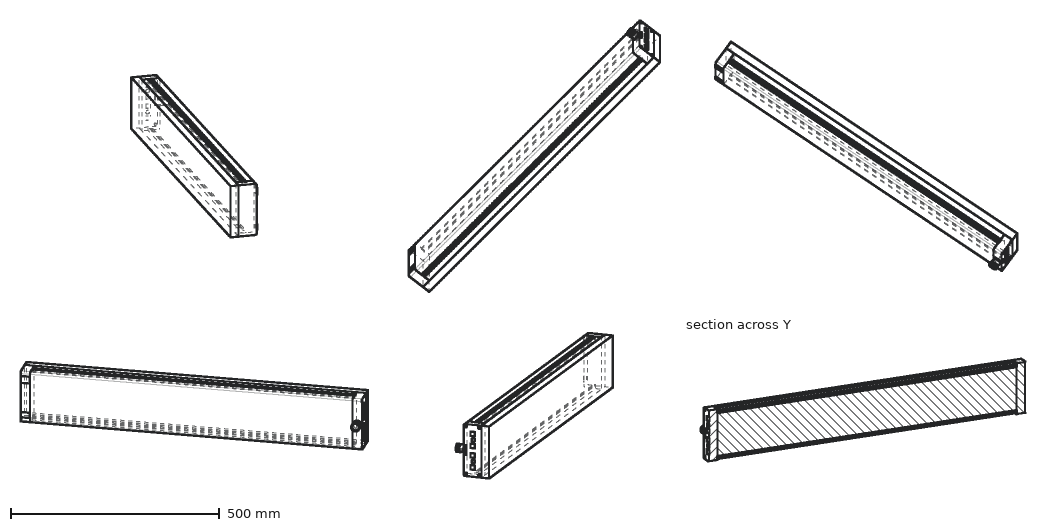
import cadquery as cq

LENGTH = 838.0
HEIGHT = 130.0
PANEL_DEPTH = 20.0
BLOCK_DEPTH = 65.0
END_CAP_LENGTH = 23.5
BACK_ROUND = 5.0

GROOVE_START = 35.0
GROOVE_END = 45.0
GROOVE_DEPTH = 6.0
SLOT_WIDTH = 2.5
SLOT_DEPTH = 10.0

CONNECTOR_X = END_CAP_LENGTH / 2
CONNECTOR_STEPS = [(10.0, 67.0), (9.0, 77.0), (10.0, 79.0), (8.0, 84.0), (10.0, 86.0)]

PAD_RISE = 2.0
PAD_WIDTH = 22.0
PADS = [(45.0, 18.0), (-45.0, 13.0)]

RECESS_DEPTH = 2.0
WINDOW_SIZE = 11.0
WINDOW_Y = 43.0
WINDOW_Z = [12.0, 42.0]
BUTTON_DIAMETER = 9.0
BUTTON_Y = 41.0
BUTTON_Z = 27.0
KEY_SLOT_WIDTH = 2.5
KEY_SLOT_LENGTH = 23.5
KEY_SLOT_Y = 59.5

SCREW_DIAMETER = 6.0
FRONT_SCREW_Y = 25.0
BACK_SCREW_Y = 60.0
SCREW_Z = 59.5


def block(x_start, length, y_start, y_end):
    """Full-height box centred on Z = 0."""
    box = cq.Workplane("XY").box(length, y_end - y_start, HEIGHT, centered=(False, False, True))
    return box.translate((x_start, y_start, 0))


def rear_block(x_start, length):
    """Block behind the front panel, with its two long back edges rounded."""
    return block(x_start, length, PANEL_DEPTH, BLOCK_DEPTH).edges("|X and >Y").fillet(BACK_ROUND)


def make_panel():
    return block(0, LENGTH, 0, PANEL_DEPTH)


def groove_cutter(side, width, depth):
    """Long cutter from GROOVE_START on the top (side 1) or bottom (side -1) face."""
    cutter = cq.Workplane("XY").box(LENGTH, width, 2 * depth)
    return cutter.translate((LENGTH / 2, GROOVE_START + width / 2, side * HEIGHT / 2))


def make_extrusion():
    body = rear_block(END_CAP_LENGTH, LENGTH - 2 * END_CAP_LENGTH)
    for side in (1, -1):
        body = body.cut(groove_cutter(side, GROOVE_END - GROOVE_START, GROOVE_DEPTH))
        body = body.cut(groove_cutter(side, SLOT_WIDTH, SLOT_DEPTH))
    return body


def add_connector(cap):
    """Stack of coaxial cylinders pointing along +Y from the back of the cap."""
    start = BLOCK_DEPTH
    for radius, end in CONNECTOR_STEPS:
        base = cq.Workplane("XZ", origin=(CONNECTOR_X, start, 0))
        cap = cap.union(base.circle(radius).extrude(start - end))
        start = end
    return cap


def mirrored(y, heights):
    """(Y, Z) points at each height and its mirror image below Z = 0."""
    return [(y, side * z) for z in heights for side in (1, -1)]


def cut_recesses(cap):
    """Shallow recesses in the outer face of the cap, which lies on X = 0."""
    screw_points = mirrored(FRONT_SCREW_Y, [SCREW_Z]) + mirrored(BACK_SCREW_Y, [SCREW_Z])
    outlines = [
        cq.Workplane("YZ").pushPoints(mirrored(WINDOW_Y, WINDOW_Z)).rect(WINDOW_SIZE, WINDOW_SIZE),
        cq.Workplane("YZ").pushPoints(mirrored(BUTTON_Y, [BUTTON_Z])).circle(BUTTON_DIAMETER / 2),
        cq.Workplane("YZ").center(KEY_SLOT_Y, 0).rect(KEY_SLOT_WIDTH, KEY_SLOT_LENGTH),
        cq.Workplane("YZ").pushPoints(screw_points).circle(SCREW_DIAMETER / 2),
    ]
    for outline in outlines:
        cap = cap.cut(outline.extrude(RECESS_DEPTH))
    return cap


def make_left_cap():
    return cut_recesses(add_connector(rear_block(0, END_CAP_LENGTH)))


def make_right_cap():
    x_start = LENGTH - END_CAP_LENGTH
    cap = rear_block(x_start, END_CAP_LENGTH)
    for z, height in PADS:
        pad = cq.Workplane("XY").box(PAD_WIDTH, 2 * PAD_RISE, height)
        cap = cap.union(pad.translate((x_start + END_CAP_LENGTH / 2, BLOCK_DEPTH, z)))
    return cap


result = cq.Compound.makeCompound(
    [make_panel().val(), make_extrusion().val(), make_left_cap().val(), make_right_cap().val()]
)